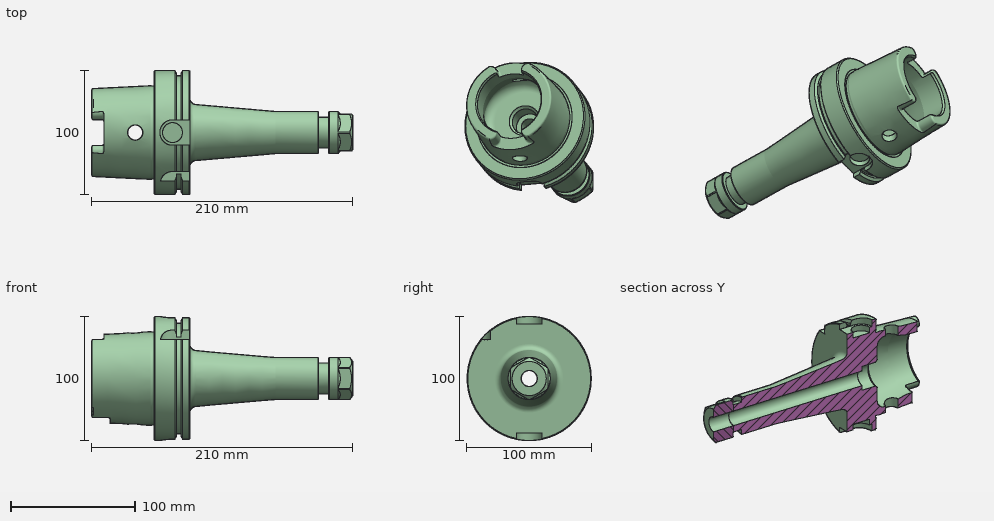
import cadquery as cq
import math


shank_length = 50.0
gauge_diameter = 75.52
taper_ratio = 9.98
rim_round = 1.5
collar_length = 2.5
collar_relief = 0.25
seat_groove_diameter = 79.0
seat_groove_depth = 0.5

bore_diameter = 53.0
bore_mouth_chamfer = 1.0
bore_mouth_chamfer_length = 1.8
bore_mouth_depth = 20.0
undercut_diameter = 63.0
bore_depth = 49.0
bore_floor_fillet = 7.0
counterbore_diameter = 21.0
counterbore_mouth_diameter = 25.0
counterbore_depth = 15.0
through_diameter = 12.75

drive_slot_width = 20.5
drive_slot_shoulder = 31.5
drive_slot_corner_radius = 5.5
drive_slot_floor_fillet = 1.5
drive_slot_end_round = 1.5
top_drive_slot_depth = 9.8
bottom_drive_slot_depth = 14.8

cross_hole_diameter = 12.0
cross_hole_x = -15.0

flange_diameter = 100.0
flange_length = 29.0
flange_front_chamfer = 1.0
flange_rear_chamfer = 0.6
groove_x = 20.0
groove_floor_diameter = 91.5
groove_floor_width = 3.6
groove_wall_diameter = 95.0
groove_mouth_width = 6.4

pocket_width = 20.4
pocket_x = 15.0
pocket_floor = 44.0
chip_hole_diameter = 16.0
chip_hole_depth = 5.0
notch_offset = 31.3
notch_radius = 10.0

arm_fillet = 5.0
arm_diameter = 34.0
arm_taper_angle = 5.0
arm_taper_end = 98.0
arm_end = 132.5
arm_end_chamfer = 0.6
neck_diameter = 25.0

nut_start = 140.5
nut_diameter = arm_diameter
nut_rear_chamfer = 0.6
hex_start = 148.0
hex_across_flats = 30.0
nut_shoulder_length = 2.0
nut_end = 160.0
nut_tip_diameter = 27.5
nut_tip_length = 2.4


def turned(points):
    """Solid of revolution about X from (x, radius) points."""
    return cq.Workplane("XY").polyline(points).close().revolve(360, (0, 0, 0), (1, 0, 0))


def cylinder_x(diameter, start, end):
    return cq.Workplane("YZ", origin=(start, 0, 0)).circle(diameter / 2).extrude(end - start)


def make_shank():
    """Solid shank with drive slots; its end edge is rounded along the rim and along the slots."""
    gauge_radius = gauge_diameter / 2
    relief_radius = gauge_radius - collar_relief
    end_radius = gauge_radius - (shank_length - collar_length) / taper_ratio / 2
    sharp_shank = turned([
        (-shank_length, 0),
        (-shank_length, end_radius),
        (-collar_length, gauge_radius),
        (-collar_length / 2, relief_radius),
        (0, relief_radius),
        (0, 0),
    ])
    slotted = sharp_shank.cut(drive_slot(1, top_drive_slot_depth))
    slotted = slotted.cut(drive_slot(-1, bottom_drive_slot_depth))
    slot_edges = [
        edge for edge in slotted.faces("<X").edges().vals()
        if edge.geomType() == "LINE" or edge.radius() <= drive_slot_corner_radius
    ]
    slotted = slotted.newObject(slot_edges).fillet(drive_slot_end_round)
    rounded_rim = sharp_shank.faces("<X").edges().fillet(rim_round)
    return slotted.intersect(rounded_rim)


def drive_slot(side, depth):
    """Slot across the shank end whose side walls roll outward to a wide shoulder."""
    half_width = drive_slot_width / 2
    radius = drive_slot_corner_radius
    half_reach = flange_diameter / 2
    profile = (
        cq.Workplane("YZ", origin=(-shank_length, 0, 0))
        .moveTo(-half_width, 0)
        .lineTo(half_width, 0)
        .lineTo(half_width, drive_slot_shoulder - radius)
        .radiusArc((half_width + radius, drive_slot_shoulder), radius)
        .lineTo(half_reach, drive_slot_shoulder)
        .lineTo(half_reach, half_reach)
        .lineTo(-half_reach, half_reach)
        .lineTo(-half_reach, drive_slot_shoulder)
        .lineTo(-half_width - radius, drive_slot_shoulder)
        .radiusArc((-half_width, drive_slot_shoulder - radius), radius)
        .close()
    )
    slot = profile.extrude(depth)
    wall_edges = slot.faces(">X").edges(cq.selectors.BoxSelector(
        (depth - shank_length - 1, -half_reach - 1, 1),
        (depth - shank_length + 1, half_reach + 1, drive_slot_shoulder + 1),
    ))
    slot = wall_edges.fillet(drive_slot_floor_fillet)
    return slot if side > 0 else slot.mirror("XY")


def make_bore():
    """Bore with a narrow mouth, a flared undercut with a rounded floor, and a counterbore."""
    mouth_radius = bore_diameter / 2
    undercut_radius = undercut_diameter / 2
    undercut_x = bore_mouth_depth - shank_length
    floor_x = bore_depth - shank_length
    counterbore_x = floor_x + counterbore_depth
    chamfer_depth = (counterbore_mouth_diameter - counterbore_diameter) / 2
    return (
        cq.Workplane("XY")
        .moveTo(-shank_length, 0)
        .lineTo(-shank_length, mouth_radius + bore_mouth_chamfer)
        .lineTo(-shank_length + bore_mouth_chamfer_length, mouth_radius)
        .lineTo(undercut_x, mouth_radius)
        .lineTo(floor_x - bore_floor_fillet, undercut_radius)
        .radiusArc((floor_x, undercut_radius - bore_floor_fillet), bore_floor_fillet)
        .lineTo(floor_x, counterbore_mouth_diameter / 2)
        .lineTo(floor_x + chamfer_depth, counterbore_diameter / 2)
        .lineTo(counterbore_x, counterbore_diameter / 2)
        .lineTo(counterbore_x, 0)
        .close()
        .revolve(360, (0, 0, 0), (1, 0, 0))
    )


def make_flange():
    radius = flange_diameter / 2
    wall_radius = groove_wall_diameter / 2
    floor_radius = groove_floor_diameter / 2
    return turned([
        (0, 0),
        (0, radius - flange_front_chamfer),
        (flange_front_chamfer, radius),
        (groove_x - groove_mouth_width / 2, radius),
        (groove_x - groove_floor_width / 2, wall_radius),
        (groove_x - groove_floor_width / 2, floor_radius),
        (groove_x + groove_floor_width / 2, floor_radius),
        (groove_x + groove_floor_width / 2, wall_radius),
        (groove_x + groove_mouth_width / 2, radius),
        (flange_length - flange_rear_chamfer, radius),
        (flange_length, radius - flange_rear_chamfer),
        (flange_length, 0),
    ])


def rim_pocket(side):
    """Round-ended pocket open to the rear of the flange, with a blind hole in its floor."""
    height = flange_diameter / 2 - pocket_floor
    rear_length = flange_length - pocket_x
    round_end = (
        cq.Workplane("XY", origin=(pocket_x, 0, pocket_floor))
        .circle(pocket_width / 2)
        .extrude(height)
    )
    straight_part = (
        cq.Workplane("XY", origin=(pocket_x + rear_length / 2, 0, pocket_floor))
        .rect(rear_length, pocket_width)
        .extrude(height)
    )
    hole = (
        cq.Workplane("XY", origin=(pocket_x, 0, pocket_floor - chip_hole_depth))
        .circle(chip_hole_diameter / 2)
        .extrude(chip_hole_depth)
    )
    pocket = round_end.union(straight_part).union(hole)
    return pocket if side > 0 else pocket.mirror("XY")


def corner_notch():
    """Step in the rim between the pockets, with a quarter-round end."""
    reach = flange_diameter / 2
    return (
        cq.Workplane("XY", origin=(0, 0, notch_offset))
        .moveTo(pocket_x - notch_radius, -notch_offset - notch_radius)
        .radiusArc((pocket_x, -notch_offset), notch_radius)
        .lineTo(flange_length, -notch_offset)
        .lineTo(flange_length, -reach)
        .lineTo(pocket_x - notch_radius, -reach)
        .close()
        .extrude(reach - notch_offset)
    )


def make_arm():
    """Tapered arm with a filleted root, a straight end and the neck that carries the nut."""
    end_radius = arm_diameter / 2
    slope = math.tan(math.radians(arm_taper_angle))
    fillet_end = flange_length + arm_fillet
    root_radius = end_radius + (arm_taper_end - fillet_end) * slope
    return (
        cq.Workplane("XY")
        .moveTo(0, 0)
        .lineTo(0, root_radius + arm_fillet)
        .lineTo(flange_length, root_radius + arm_fillet)
        .radiusArc((fillet_end, root_radius), -arm_fillet)
        .lineTo(arm_taper_end, end_radius)
        .lineTo(arm_end - arm_end_chamfer, end_radius)
        .lineTo(arm_end, end_radius - arm_end_chamfer)
        .lineTo(arm_end, neck_diameter / 2)
        .lineTo(nut_start, neck_diameter / 2)
        .lineTo(nut_start, 0)
        .close()
        .revolve(360, (0, 0, 0), (1, 0, 0))
    )


def make_holder():
    holder = make_flange().union(make_arm())
    holder = holder.cut(rim_pocket(1)).cut(rim_pocket(-1)).cut(corner_notch())
    seat_core = cylinder_x(gauge_diameter - 2 * collar_relief, 0, seat_groove_depth)
    seat_groove = cylinder_x(seat_groove_diameter, 0, seat_groove_depth).cut(seat_core)
    holder = holder.cut(seat_groove)
    holder = holder.union(make_shank()).cut(make_bore())
    cross_hole = (
        cq.Workplane("XY", origin=(cross_hole_x, 0, 0))
        .circle(cross_hole_diameter / 2)
        .extrude(flange_diameter / 2, both=True)
    )
    return holder.cut(cross_hole).cut(cylinder_x(through_diameter, -shank_length, nut_end))


def make_nut():
    """Nut with a round collar, a conical shoulder and a chamfered hexagon."""
    radius = nut_diameter / 2
    body = turned([
        (nut_start, 0),
        (nut_start, radius - nut_rear_chamfer),
        (nut_start + nut_rear_chamfer, radius),
        (nut_end - nut_tip_length, radius),
        (nut_end, nut_tip_diameter / 2),
        (nut_end, 0),
    ])
    shoulder_radius = hex_across_flats / 2
    collar = turned([
        (nut_start, 0),
        (nut_start, radius),
        (hex_start, radius),
        (hex_start + nut_shoulder_length, shoulder_radius),
        (hex_start + nut_shoulder_length, 0),
    ])
    across_corners = hex_across_flats / math.cos(math.pi / 6)
    hexagon = (
        cq.Workplane("YZ", origin=(nut_start, 0, 0))
        .transformed(rotate=(0, 0, 90))
        .polygon(6, across_corners)
        .extrude(nut_end - nut_start)
    )
    nut = body.intersect(hexagon.union(collar))
    return nut.cut(cylinder_x(through_diameter, nut_start, nut_end))


holder = make_holder()
nut = make_nut()
result = cq.Compound.makeCompound([holder.val(), nut.val()])